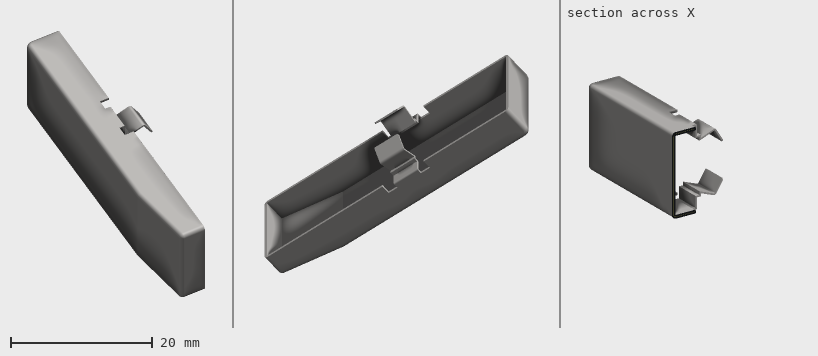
import cadquery as cq
import math

length = 43.3
height = 13.1
depth = 5.33
wall = 0.4
slope_start_x = 11.55
slope_end_depth = 3.8
edge_radius = 0.6
left_front_radius = 1.0

clip_left_x = -5.05
clip_width = 4.2
notch_width = 1.55
notch_depth = 1.45

strip = 0.25
peak_radius = 0.45
shoulder_radius = 0.24
tip_corner_radius = 0.2

web_y = -0.65
step_z = 4.6
foot_z = 4.05
peak_y = 2.5
peak_z = 5.02
clip_reach = 4.0
tip_lean = 30
tip_y = clip_reach - strip / 2 * math.cos(math.radians(tip_lean))
tip_z = 2.85


def cover_outline(inset, back_y):
    """Closed XY outline, set in from the outer faces by inset."""
    half_length = length / 2 - inset
    slope = (depth - slope_end_depth) / (length / 2 - slope_start_x)
    slope_angle = math.atan(slope)
    bend_x = slope_start_x - inset * math.tan(slope_angle / 2)
    front_y = inset - depth
    end_y = front_y + slope * (half_length - bend_x)
    return [
        (-half_length, back_y),
        (-half_length, front_y),
        (bend_x, front_y),
        (half_length, end_y),
        (half_length, back_y),
    ]


def extruded_cover(inset, back_y):
    body_height = height - 2 * inset
    return (
        cq.Workplane("XY", origin=(0, 0, -body_height / 2))
        .polyline(cover_outline(inset, back_y))
        .close()
        .extrude(body_height)
    )


def make_cover():
    outer = extruded_cover(0, 0)
    outer = outer.edges("|Z and <X and <Y").fillet(left_front_radius)
    outer = outer.edges("(>Z or <Z or |Y or (|Z and >X)) and (not >Y)").fillet(edge_radius)
    return outer.cut(extruded_cover(wall, wall))


def offset_side(path, distance):
    """Mitred offset of an open path, positive to its left."""
    angles = [math.atan2(b[1] - a[1], b[0] - a[0]) for a, b in zip(path, path[1:])]
    before = angles[:1] + angles
    after = angles + angles[-1:]
    side = []
    for (y, z), a, b in zip(path, before, after):
        turn = math.remainder(b - a, 2 * math.pi)
        reach = distance / math.cos(turn / 2)
        normal = a + turn / 2 + math.pi / 2
        side.append((y + reach * math.cos(normal), z + reach * math.sin(normal)))
    return side


def make_clip():
    """Upper clip: a stub of the wall, a step inward, then the sprung leg."""
    stub_z = height / 2 - strip / 2
    path = [
        (-notch_depth - wall, stub_z),
        (web_y, stub_z),
        (web_y, step_z),
        (0, step_z),
        (0, foot_z),
        (peak_y, peak_z),
        (tip_y, tip_z),
    ]
    section = offset_side(path, strip / 2) + offset_side(path, -strip / 2)[::-1]
    clip = (
        cq.Workplane("YZ", origin=(clip_left_x, 0, 0))
        .polyline(section)
        .close()
        .extrude(clip_width)
    )
    outer_peak = cq.selectors.BoxSelector(
        (-length, peak_y - strip, peak_z), (length, peak_y + strip, peak_z + strip)
    )
    inner_peak = cq.selectors.BoxSelector(
        (-length, peak_y - strip, peak_z - strip), (length, peak_y + strip, peak_z)
    )
    clip = clip.edges("|X").edges(outer_peak).fillet(peak_radius)
    clip = clip.edges("|X").edges(inner_peak).fillet(peak_radius - strip)
    clip = clip.edges("|X and >Z").edges(">Y").fillet(shoulder_radius)
    tip_corners = cq.selectors.BoxSelector(
        (-length, tip_y - strip, tip_z - strip), (length, tip_y + strip, tip_z + strip)
    )
    return clip.edges("not |X").edges(tip_corners).fillet(tip_corner_radius)


def make_clip_window():
    """Opening through both long walls, later bridged by the clips."""
    window_width = clip_width + 2 * notch_width
    corner = (clip_left_x - notch_width, -notch_depth, 0)
    return (
        cq.Workplane("XY", origin=corner)
        .box(window_width, notch_depth, height, centered=(False, False, True))
    )


upper_clip = make_clip()
lower_clip = upper_clip.mirror("XY")
result = make_cover().cut(make_clip_window()).union(upper_clip).union(lower_clip)